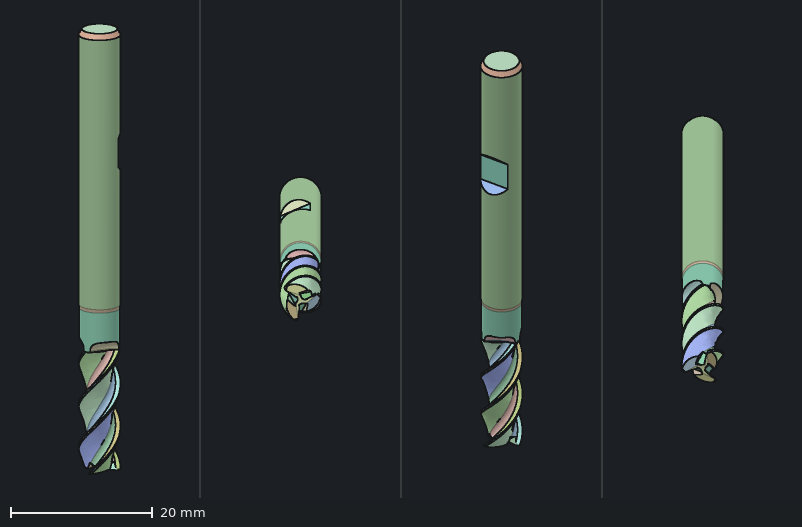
import cadquery as cq
import math

LENGTH = 65.0
DIAMETER = 6.0
RADIUS = DIAMETER / 2

TOOTH_COUNT = 3
TOOTH_PITCH_ANGLE = 360.0 / TOOTH_COUNT
HELIX_ANGLE = 45.0
LEAD = math.pi * DIAMETER / math.tan(math.radians(HELIX_ANGLE))
CUTTER_LENGTH = 18.0
CUTTER_TWIST = 360.0 * CUTTER_LENGTH / LEAD
END_EDGE_ANGLE = 60.0

MARGIN_RADIUS = 2.9
MARGIN_ANGLE = 8.0
BACK_RADIUS = 2.3
BACK_ANGLE = 42.0
HEEL_RADIUS = 1.8
HEEL_ANGLE = 82.0
FLOOR_RADIUS = 1.75
FLOOR_ANGLE = 100.0
RAKE_RADIUS = 2.3
RAKE_ANGLE = 118.0

CORNER_CHAMFER_WIDTH = 0.45
CORNER_CHAMFER_HEIGHT = 0.2
DISH_DEPTH = 0.2
END_RELIEF_ANGLE = 12.0
GASH_HEIGHT = 1.2
GASH_WIDTH = 1.05
GASH_START_RADIUS = 0.3
GASH_FULL_RADIUS = 1.9
GASH_TILT = 30.0

TOP_CHAMFER_WIDTH = 0.45
TOP_CHAMFER_HEIGHT = 0.85
NECK_DIAMETER = 5.8
NECK_RADIUS = NECK_DIAMETER / 2
NECK_END = 24.0
SHANK_START = 24.5

RUNOUT_TOP = 19.55
RUNOUT_CORNER_RADIUS = 1.3
RUNOUT_FLOOR_RADIUS = 1.55
NECK_LAND_ANGLE = 23.0
RUNOUT_HALF_ANGLE = math.radians((TOOTH_PITCH_ANGLE - NECK_LAND_ANGLE) / 2)
RUNOUT_HALF_CHORD = NECK_RADIUS * math.sin(RUNOUT_HALF_ANGLE)
RUNOUT_SAG = NECK_RADIUS * math.cos(RUNOUT_HALF_ANGLE) - RUNOUT_FLOOR_RADIUS
RUNOUT_DISC_RADIUS = (RUNOUT_HALF_CHORD**2 + RUNOUT_SAG**2) / (2 * RUNOUT_SAG)

FLAT_DEPTH = 1.1
FLAT_BOTTOM = 45.0
FLAT_TOP = 49.15


def polar(radius, degrees):
    angle = math.radians(degrees)
    return radius * math.cos(angle), radius * math.sin(angle)


def tooth_section():
    """Closed cross-section of all teeth, with the first cutting edge at END_EDGE_ANGLE."""
    section = cq.Workplane("XY").moveTo(*polar(RADIUS, END_EDGE_ANGLE))
    for tooth in range(TOOTH_COUNT):
        edge = END_EDGE_ANGLE + tooth * TOOTH_PITCH_ANGLE
        section = (
            section.lineTo(*polar(MARGIN_RADIUS, edge + MARGIN_ANGLE))
            .threePointArc(polar(BACK_RADIUS, edge + BACK_ANGLE), polar(HEEL_RADIUS, edge + HEEL_ANGLE))
            .threePointArc(polar(FLOOR_RADIUS, edge + FLOOR_ANGLE), polar(RAKE_RADIUS, edge + RAKE_ANGLE))
        )
        if tooth < TOOTH_COUNT - 1:
            section = section.lineTo(*polar(RADIUS, edge + TOOTH_PITCH_ANGLE))
    return section.close()


def end_envelope():
    """Turned envelope that gives the cutting end its corner chamfer and shallow dish."""
    return (
        cq.Workplane("XZ")
        .moveTo(0, DISH_DEPTH)
        .lineTo(RADIUS - CORNER_CHAMFER_WIDTH, 0)
        .lineTo(RADIUS, CORNER_CHAMFER_HEIGHT)
        .lineTo(RADIUS, CUTTER_LENGTH)
        .lineTo(0, CUTTER_LENGTH)
        .close()
        .revolve(360, (0, 0), (0, 1))
    )


def end_relief(edge_angle):
    """Wedge that lifts the end face of one tooth behind its radial end edge."""
    rise = RADIUS * math.tan(math.radians(END_RELIEF_ANGLE))
    return (
        cq.Workplane("YZ")
        .polyline([(0, 0), (RADIUS, 0), (RADIUS, rise)])
        .close()
        .extrude(RADIUS)
        .rotate((0, 0, 0), (0, 0, 1), edge_angle)
    )


def end_gash(edge_angle):
    """Notch ahead of one end edge: its roof climbs outward and it leans along the helix."""
    return (
        cq.Workplane("XZ")
        .moveTo(GASH_START_RADIUS, -GASH_HEIGHT)
        .lineTo(GASH_START_RADIUS, 0)
        .lineTo(GASH_FULL_RADIUS, GASH_HEIGHT)
        .lineTo(DIAMETER, GASH_HEIGHT)
        .lineTo(DIAMETER, -GASH_HEIGHT)
        .close()
        .extrude(GASH_WIDTH)
        .rotate((0, 0, 0), (1, 0, 0), -GASH_TILT)
        .rotate((0, 0, 0), (0, 0, 1), edge_angle)
    )


def make_cutter():
    body = tooth_section().twistExtrude(CUTTER_LENGTH, CUTTER_TWIST)
    body = body.intersect(end_envelope())
    for tooth in range(TOOTH_COUNT):
        edge_angle = END_EDGE_ANGLE + tooth * TOOTH_PITCH_ANGLE
        body = body.cut(end_relief(edge_angle)).cut(end_gash(edge_angle))
    return body


def shank_blank():
    """Turned neck, cone and shank."""
    return (
        cq.Workplane("YZ")
        .moveTo(0, CUTTER_LENGTH)
        .lineTo(-NECK_RADIUS, CUTTER_LENGTH)
        .lineTo(-NECK_RADIUS, NECK_END)
        .lineTo(-RADIUS, SHANK_START)
        .lineTo(-RADIUS, LENGTH - TOP_CHAMFER_HEIGHT)
        .lineTo(-RADIUS + TOP_CHAMFER_WIDTH, LENGTH)
        .lineTo(0, LENGTH)
        .close()
        .revolve(360, (0, 0), (0, 1))
    )


def flute_runout(direction):
    """Disc that grinds one straight concave flute into the neck, rounded out at its top."""
    return (
        cq.Workplane("XY")
        .circle(RUNOUT_DISC_RADIUS)
        .extrude(RUNOUT_TOP)
        .faces(">Z")
        .edges()
        .fillet(RUNOUT_CORNER_RADIUS)
        .translate((RUNOUT_FLOOR_RADIUS + RUNOUT_DISC_RADIUS, 0, 0))
        .rotate((0, 0, 0), (0, 0, 1), direction)
    )


def clamping_flat():
    """Flat across the shank with 45 degree ends."""
    floor = RADIUS - FLAT_DEPTH
    return (
        cq.Workplane("YZ")
        .moveTo(floor, FLAT_BOTTOM)
        .lineTo(floor, FLAT_TOP)
        .lineTo(RADIUS, FLAT_TOP + FLAT_DEPTH)
        .lineTo(RADIUS, FLAT_BOTTOM - FLAT_DEPTH)
        .close()
        .extrude(RADIUS, both=True)
    )


def make_shank():
    body = shank_blank()
    first_land = END_EDGE_ANGLE + CUTTER_TWIST + NECK_LAND_ANGLE / 2
    for tooth in range(TOOTH_COUNT):
        body = body.cut(flute_runout(first_land + (tooth + 0.5) * TOOTH_PITCH_ANGLE))
    return body.cut(clamping_flat())


cutter = make_cutter().solids()
shank = make_shank().solids()

result = cq.Compound.makeCompound([cutter.val(), shank.val()])